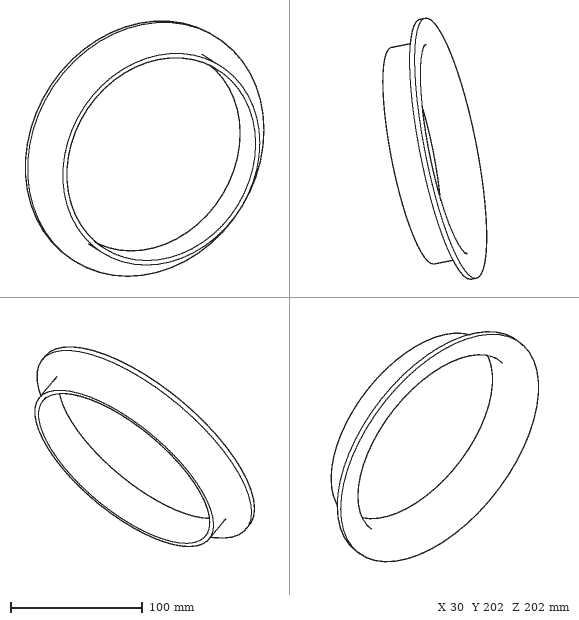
import cadquery as cq

total_length = 30.0
flange_diameter = 202.0
collar_diameter = 168.3
bore_diameter = 161.1
flange_thickness = 4.0
mouth_radius = 5.0
root_radius = 3.0

flange_radius = flange_diameter / 2
collar_radius = collar_diameter / 2
bore_radius = bore_diameter / 2


def make_wall_section():
    """L-shaped half section in the XY plane: X along the axis, Y radial."""
    root_end = flange_thickness + root_radius
    return (
        cq.Workplane("XY")
        .moveTo(0, bore_radius + mouth_radius)
        .lineTo(0, flange_radius)
        .lineTo(flange_thickness, flange_radius)
        .lineTo(flange_thickness, collar_radius + root_radius)
        .radiusArc((root_end, collar_radius), -root_radius)
        .lineTo(total_length, collar_radius)
        .lineTo(total_length, bore_radius)
        .lineTo(mouth_radius, bore_radius)
        .radiusArc((0, bore_radius + mouth_radius), mouth_radius)
        .close()
    )


def make_flanged_ring():
    """Sweep the wall section one full turn about the X axis."""
    return make_wall_section().revolve(360, (0, 0, 0), (1, 0, 0))


result = make_flanged_ring()